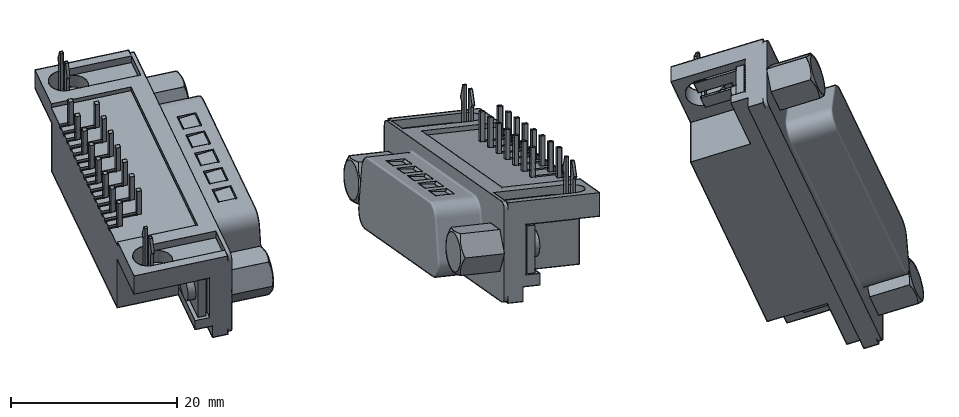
import cadquery as cq
import math


flange_width = 39.12
flange_height = 12.6
flange_thickness = 0.5
flange_corner_radius = 0.83
housing_front = -12.35
face_plate_back = -2.45
block_bottom = -4.45
block_width = 25.87
top = flange_height / 2

pocket_back = -2.8
pocket_top = 3.35
pocket_bottom = -3.0
ledge_front = -4.65

recess_width = 26.2
recess_depth = 0.6
recess_back = -2.3
groove_depth = 0.35

pin_count = 15
pin_pitch = 1.38
pin_size = 0.55
pin_top = 9.45
pin_embedment = 0.7
front_row_y = -11.0
back_row_y = -8.15

shell_length = 5.95
shell_height = 9.2
shell_radius = 2.05
shell_side_angle = 10.5
shell_top_flat = 20.2
shell_edge_radius = 0.25
shell_root_radius = 0.25

dimple_count = 5
dimple_pitch = 3.45
dimple_width = 2.35
dimple_start = 1.93
dimple_end = 4.3
dimple_depth = 0.35
dimple_ramp = 0.25
dimple_lip = 0.1

overall_width = 39.32
screw_spacing = 33.25
hex_corner_radius = (overall_width - screw_spacing) / 2
hex_length = 5.43
hex_face_radius = 2.45
hex_chamfer_angle = 30
screw_radius = 1.65
screw_end = -5.1
screw_x = screw_spacing / 2

sheet_thickness = 0.35
bracket_width = 3.85
bracket_front = -9.8
slit_width = 0.83
slit_back = -5.5
nut_plate_front = -4.13
nut_plate_outer = 19.1
leg_inner = 0.75
leg_outer = 1.55
leg_tip = 1.15
leg_top = 10.05
barb_reach = 1.9
barb_z = 8.3
barb_bottom = 7.9

channel_width = 3.6
channel_depth = 1.05
hole_length = 4.88
hole_centre_y = -9.05


def block(x_range, y_range, z_range):
    """Box between two limits along each axis."""
    limits = (x_range, y_range, z_range)
    size = [high - low for low, high in limits]
    middle = [(high + low) / 2 for low, high in limits]
    return cq.Workplane("XY").box(*size).translate(tuple(middle))


def centred(width):
    return (-width / 2, width / 2)


def both_ends(shape):
    """The shape together with its mirror image at the other end of the connector."""
    return shape.union(shape.mirror("YZ"))


def pin_positions():
    """Centres of the pins, alternating between the front and back rows."""
    for i in range(pin_count):
        x = (i - (pin_count - 1) / 2) * pin_pitch
        y = front_row_y if i % 2 == 0 else back_row_y
        yield x, y


def make_flange():
    flange = block(centred(flange_width), (-flange_thickness, 0), centred(flange_height))
    return flange.edges("|Y").fillet(flange_corner_radius)


def make_housing():
    full_width = centred(flange_width)
    face_plate = block(full_width, (face_plate_back, -flange_thickness), (-top, top))
    upper = block(full_width, (housing_front, -flange_thickness), (block_bottom, top))
    pocket = block(
        (block_width / 2, flange_width / 2), (housing_front, pocket_back), (pocket_bottom, pocket_top)
    )
    below_ledge = block(
        (block_width / 2, flange_width / 2), (housing_front, ledge_front), (block_bottom, pocket_bottom)
    )
    recess = block(
        centred(recess_width), (housing_front, recess_back), (top - recess_depth, top)
    )
    housing = face_plate.union(upper).cut(both_ends(pocket.union(below_ledge))).cut(recess)
    return housing.cut(both_ends(make_leg_opening()))


def make_leg_opening():
    channel = block(
        (screw_x - channel_width / 2, screw_x + channel_width / 2),
        (hole_centre_y, -flange_thickness),
        (top - channel_depth, top),
    )
    hole = (
        cq.Workplane("XY", origin=(screw_x, hole_centre_y, pocket_top))
        .slot2D(hole_length, channel_width, 90)
        .extrude(top - pocket_top)
    )
    return channel.union(hole)


def cut_pin_grooves(body):
    groove_top = top - recess_depth
    for x, y in pin_positions():
        groove = block(
            (x - pin_size / 2, x + pin_size / 2), (housing_front, y), (groove_top - groove_depth, groove_top)
        )
        body = body.cut(groove)
    return body


def add_pins(body):
    pin_bottom = top - recess_depth - pin_embedment
    for x, y in pin_positions():
        pin = block(
            (x - pin_size / 2, x + pin_size / 2), (y - pin_size / 2, y + pin_size / 2), (pin_bottom, pin_top)
        )
        body = body.union(pin)
    return body


def shell_prism(length):
    """D-shaped prism standing on the flange face, widest on the side away from the board."""
    angle = math.radians(shell_side_angle)
    centre_z = shell_height / 2 - shell_radius
    top_x = shell_top_flat / 2
    bottom_x = top_x + 2 * centre_z * math.tan(angle)

    def on_arc(x, z, degrees):
        turn = math.radians(degrees)
        return x + shell_radius * math.cos(turn), z + shell_radius * math.sin(turn)

    def upper(degrees):
        return on_arc(top_x, centre_z, degrees)

    def lower(degrees):
        return on_arc(bottom_x, -centre_z, degrees)

    def left(point):
        return -point[0], point[1]

    side = shell_side_angle
    upper_mid = (90 + side) / 2
    lower_mid = (side - 90) / 2
    return (
        cq.Workplane("XZ")
        .moveTo(*left(upper(90)))
        .lineTo(*upper(90))
        .threePointArc(upper(upper_mid), upper(side))
        .lineTo(*lower(side))
        .threePointArc(lower(lower_mid), lower(-90))
        .lineTo(*left(lower(-90)))
        .threePointArc(left(lower(lower_mid)), left(lower(side)))
        .lineTo(*left(upper(side)))
        .threePointArc(left(upper(upper_mid)), left(upper(90)))
        .close()
        .extrude(-length)
    )


def make_shell_on_flange():
    """Flange and shell in one, rounded at the shell's free edge and where it meets the flange."""
    shell = make_flange().union(shell_prism(shell_length))
    shell = shell.faces(">Y").edges().fillet(shell_edge_radius)
    mating_face = shell.faces(">Y[-2]").val()
    foot_edges = mating_face.innerWires()[0].Edges()
    shell = shell.newObject(foot_edges).fillet(shell_root_radius)
    for i in range(dimple_count):
        x = (i - (dimple_count - 1) / 2) * dimple_pitch
        shell = shell.cut(make_dimple().translate((x, 0, 0)))
    return shell


def make_dimple():
    """Spring dimple, deepest near the flange and rising gently toward the mating end."""
    surface = shell_height / 2
    return (
        cq.Workplane("YZ", origin=(-dimple_width / 2, 0, 0))
        .moveTo(dimple_start, surface)
        .lineTo(dimple_start + dimple_ramp, surface - dimple_depth)
        .lineTo(dimple_end - dimple_lip, surface - dimple_lip)
        .lineTo(dimple_end, surface)
        .close()
        .extrude(dimple_width)
    )


def make_jack_screw():
    chamfer_drop = (hex_corner_radius - hex_face_radius) * math.tan(math.radians(hex_chamfer_angle))
    hexagon = (
        cq.Workplane("XZ").polygon(6, 2 * hex_corner_radius).extrude(-hex_length)
    )
    envelope = (
        cq.Workplane("XY")
        .moveTo(0, 0)
        .lineTo(hex_corner_radius, 0)
        .lineTo(hex_corner_radius, hex_length - chamfer_drop)
        .lineTo(hex_face_radius, hex_length)
        .lineTo(0, hex_length)
        .close()
        .revolve(360, (0, 0, 0), (0, 1, 0))
    )
    shank = cq.Workplane("XZ").circle(screw_radius).extrude(-screw_end)
    return hexagon.intersect(envelope).union(shank).translate((screw_x, 0, 0))


def make_bracket():
    """L-shaped sheet with a nut plate and two barbed board-lock legs."""
    sheet_x = (screw_x - bracket_width / 2, screw_x + bracket_width / 2)
    sheet_bottom = pocket_top - sheet_thickness
    nut_plate_back = pocket_back - sheet_thickness
    upright = block(sheet_x, (nut_plate_back, pocket_back), (pocket_bottom, pocket_top))
    arm = block(sheet_x, (bracket_front, pocket_back), (sheet_bottom, pocket_top))
    slit = block(
        (screw_x - slit_width / 2, screw_x + slit_width / 2),
        (bracket_front, slit_back),
        (sheet_bottom, pocket_top),
    )
    nut_plate = block(
        (block_width / 2, nut_plate_outer), (nut_plate_front, nut_plate_back), (pocket_bottom, sheet_bottom)
    )
    inner_plate = block(
        (block_width / 2, sheet_x[0]), (nut_plate_front, pocket_back), (pocket_bottom, pocket_top)
    )
    leg = (
        cq.Workplane("XZ", origin=(0, bracket_front + sheet_thickness, 0))
        .moveTo(leg_inner, sheet_bottom)
        .lineTo(leg_outer, sheet_bottom)
        .lineTo(leg_outer, barb_bottom)
        .lineTo(barb_reach, barb_z)
        .lineTo(leg_tip, leg_top)
        .lineTo(leg_inner, leg_top)
        .close()
        .extrude(sheet_thickness)
    )
    legs = both_ends(leg).translate((screw_x, 0, 0))
    return upright.union(arm).cut(slit).union(nut_plate).union(inner_plate).union(legs)


connector = make_shell_on_flange().union(make_housing())
connector = add_pins(cut_pin_grooves(connector))
connector = connector.union(both_ends(make_bracket())).union(both_ends(make_jack_screw()))
result = connector